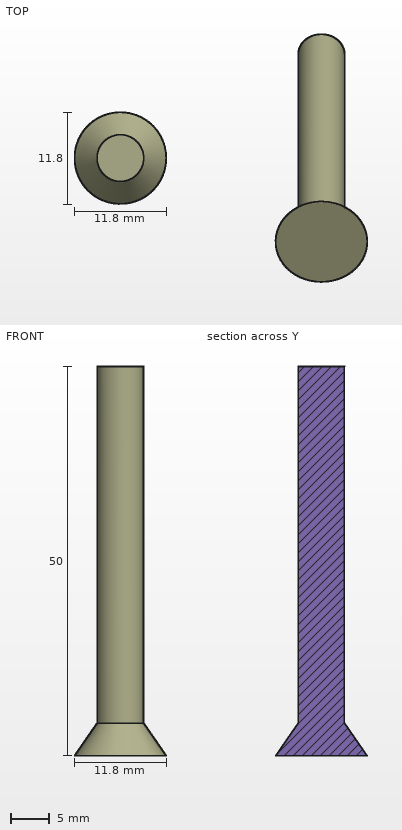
import cadquery as cq

total_length = 50.0
shank_diameter = 6.0
head_diameter = 11.8
head_height = 4.2

shank_radius = shank_diameter / 2
head_radius = head_diameter / 2

half_profile = (
    cq.Workplane("XZ")
    .moveTo(0, 0)
    .lineTo(head_radius, 0)
    .lineTo(shank_radius, head_height)
    .lineTo(shank_radius, total_length)
    .lineTo(0, total_length)
    .close()
)

result = half_profile.revolve(360, (0, 0, 0), (0, 1, 0))